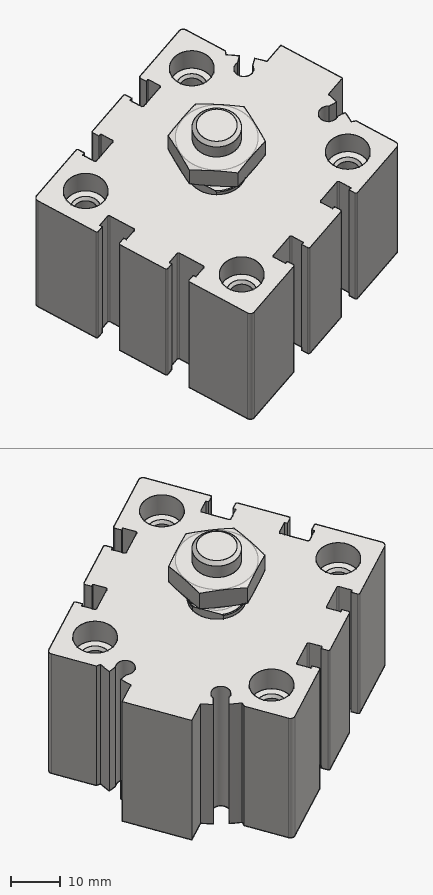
import cadquery as cq
import math

HOUSING_SIDE = 53.0
HALF_SIDE = HOUSING_SIDE / 2
TOTAL_LENGTH = 60.5
HOUSING_HEIGHT = 34.5
CORNER_RADIUS = 0.95

RAIL_WIDTH = 15.0
RAIL_TOP = TOTAL_LENGTH - HALF_SIDE
SHOULDER_RADIUS = 29.95
NOTCH_START_X = 15.9
NOTCH_BOTTOM_X = 15.25

SENSOR_GROOVE_ANGLE = 22.5
SENSOR_GROOVE_DISTANCE = 26.85
SENSOR_GROOVE_DIAMETER = 4.0
SENSOR_GROOVE_MOUTH = 3.15

T_SLOT_OFFSET = 8.5
T_SLOT_MOUTH = 5.2
T_SLOT_WIDTH = 6.5
T_SLOT_LIP = 1.8
T_SLOT_DEPTH = 4.95
T_SLOT_EDGE_RADIUS = 0.35

BOLT_SPACING = 38.0
BOLT_HOLE_DIAMETER = 4.9
COUNTERSINK_DIAMETER = 6.2
COUNTERBORE_DIAMETER = 9.0
COUNTERBORE_DEPTH = 5.7

ROD_HOLE_DEPTH = 6.05

TOTAL_HEIGHT = 49.5
ROD_LENGTH = TOTAL_HEIGHT - HOUSING_HEIGHT
ROD_DIAMETER = 10.0
ROD_TIP_DIAMETER = 8.2
ROD_TIP_CHAMFER_HEIGHT = 0.7
TAPER_TOP = 4.65
TAPER_BOTTOM = 2.25
TAPER_BOTTOM_DIAMETER = 8.5
NECK_TOP = 2.0
NECK_FILLET = 0.4
NECK_DIAMETER = 8.2
COLLAR_DIAMETER = 12.0
COLLAR_HEIGHT = 1.1
COLLAR_CHAMFER = 0.2
COLLAR_FLATS = 10.0

NUT_BOTTOM = 6.0
NUT_HEIGHT = 5.0
NUT_ACROSS_FLATS = 17.0
NUT_FACE_DIAMETER = 16.7
NUT_CORNER_DROP = 0.3


def profile_block():
    """Extruded outline: square with rounded corners, shoulders and rail on +Y."""
    rail_half = RAIL_WIDTH / 2
    notch_y = math.sqrt(SHOULDER_RADIUS**2 - NOTCH_BOTTOM_X**2)
    rail_foot_y = math.sqrt(SHOULDER_RADIUS**2 - rail_half**2)
    mid_x = (rail_half + NOTCH_BOTTOM_X) / 2
    mid_y = math.sqrt(SHOULDER_RADIUS**2 - mid_x**2)
    outline = (
        cq.Workplane("XY")
        .moveTo(0, -HALF_SIDE)
        .lineTo(HALF_SIDE, -HALF_SIDE)
        .lineTo(HALF_SIDE, HALF_SIDE)
        .lineTo(NOTCH_START_X, HALF_SIDE)
        .lineTo(NOTCH_BOTTOM_X, notch_y)
        .threePointArc((mid_x, mid_y), (rail_half, rail_foot_y))
        .lineTo(rail_half, RAIL_TOP)
        .lineTo(0, RAIL_TOP)
        .mirrorY()
    )
    block = outline.extrude(HOUSING_HEIGHT)
    return block.edges("|Z and (<X or >X)").fillet(CORNER_RADIUS)


def t_slot_cutter(offset):
    """T-slot open to the -Y face, with rounded mouth edges and floor corners."""
    mouth_half = T_SLOT_MOUTH / 2
    slot_half = T_SLOT_WIDTH / 2
    r = T_SLOT_EDGE_RADIUS
    arc_inset = r * (1 - math.sqrt(0.5))
    cutter = (
        cq.Workplane("XY", origin=(offset, -HALF_SIDE, 0))
        .moveTo(-mouth_half - r, 0)
        .lineTo(mouth_half + r, 0)
        .threePointArc((mouth_half + arc_inset, arc_inset), (mouth_half, r))
        .lineTo(mouth_half, T_SLOT_LIP)
        .lineTo(slot_half, T_SLOT_LIP)
        .lineTo(slot_half, T_SLOT_DEPTH)
        .lineTo(-slot_half, T_SLOT_DEPTH)
        .lineTo(-slot_half, T_SLOT_LIP)
        .lineTo(-mouth_half, T_SLOT_LIP)
        .lineTo(-mouth_half, r)
        .threePointArc((-mouth_half - arc_inset, arc_inset), (-mouth_half - r, 0))
        .close()
        .extrude(HOUSING_HEIGHT)
    )
    return cutter.edges("|Z and >Y").fillet(r)


def sensor_groove_cutter(angle):
    """Round-bottomed groove with a narrower mouth, pointing away from the Z axis."""
    mouth_length = RAIL_TOP - SENSOR_GROOVE_DISTANCE
    groove = (
        cq.Workplane("XY")
        .center(0, SENSOR_GROOVE_DISTANCE)
        .circle(SENSOR_GROOVE_DIAMETER / 2)
        .extrude(HOUSING_HEIGHT)
    )
    mouth = (
        cq.Workplane("XY")
        .center(0, SENSOR_GROOVE_DISTANCE + mouth_length / 2)
        .rect(SENSOR_GROOVE_MOUTH, mouth_length)
        .extrude(HOUSING_HEIGHT)
    )
    return groove.union(mouth).rotate((0, 0, 0), (0, 0, 1), angle)


def bolt_hole_cutter():
    """Four through holes with a counterbore and a 45 degree countersink in its floor."""
    floor = HOUSING_HEIGHT - COUNTERBORE_DEPTH
    hole_radius = BOLT_HOLE_DIAMETER / 2
    sink_radius = COUNTERSINK_DIAMETER / 2
    bore_radius = COUNTERBORE_DIAMETER / 2
    hole = (
        cq.Workplane("XZ")
        .polyline([
            (0, 0),
            (hole_radius, 0),
            (hole_radius, floor - (sink_radius - hole_radius)),
            (sink_radius, floor),
            (bore_radius, floor),
            (bore_radius, HOUSING_HEIGHT),
            (0, HOUSING_HEIGHT),
        ])
        .close()
        .revolve(360, (0, 0, 0), (0, 1, 0))
    )
    positions = cq.Workplane("XY").rect(BOLT_SPACING, BOLT_SPACING, forConstruction=True)
    return positions.vertices().eachpoint(hole.val(), combine=True)


def rod_hole_cutter():
    """Blind round hole in the top face that the rod collar fits into."""
    return (
        cq.Workplane("XY", origin=(0, 0, HOUSING_HEIGHT - ROD_HOLE_DEPTH))
        .circle(COLLAR_DIAMETER / 2)
        .extrude(ROD_HOLE_DEPTH)
    )


def make_housing():
    """Profile block with bolt holes, rod hole, six T-slots and two sensor grooves."""
    housing = profile_block().cut(bolt_hole_cutter()).cut(rod_hole_cutter())
    for face_angle in (-90, 0, 90):
        for offset in (-T_SLOT_OFFSET, T_SLOT_OFFSET):
            housing = housing.cut(t_slot_cutter(offset).rotate((0, 0, 0), (0, 0, 1), face_angle))
    for angle in (-SENSOR_GROOVE_ANGLE, SENSOR_GROOVE_ANGLE):
        housing = housing.cut(sensor_groove_cutter(angle))
    return housing


def make_rod():
    """Turned rod end standing in the guide hole, with two flats along its collar."""
    collar_radius = COLLAR_DIAMETER / 2
    neck_radius = NECK_DIAMETER / 2
    rod_radius = ROD_DIAMETER / 2
    fillet_inset = NECK_FILLET * (1 - math.sqrt(0.5))
    rod = (
        cq.Workplane("XZ", origin=(0, 0, HOUSING_HEIGHT))
        .moveTo(0, -ROD_HOLE_DEPTH)
        .lineTo(collar_radius, -ROD_HOLE_DEPTH)
        .lineTo(collar_radius, COLLAR_HEIGHT - COLLAR_CHAMFER)
        .lineTo(collar_radius - COLLAR_CHAMFER, COLLAR_HEIGHT)
        .lineTo(neck_radius + NECK_FILLET, COLLAR_HEIGHT)
        .threePointArc(
            (neck_radius + fillet_inset, COLLAR_HEIGHT + fillet_inset),
            (neck_radius, COLLAR_HEIGHT + NECK_FILLET),
        )
        .lineTo(neck_radius, NECK_TOP)
        .lineTo(TAPER_BOTTOM_DIAMETER / 2, TAPER_BOTTOM)
        .lineTo(rod_radius, TAPER_TOP)
        .lineTo(rod_radius, ROD_LENGTH - ROD_TIP_CHAMFER_HEIGHT)
        .lineTo(ROD_TIP_DIAMETER / 2, ROD_LENGTH)
        .lineTo(0, ROD_LENGTH)
        .close()
        .revolve(360, (0, 0, 0), (0, 1, 0))
    )
    flats = (
        cq.Workplane("XY", origin=(0, 0, HOUSING_HEIGHT - ROD_HOLE_DEPTH))
        .rect(COLLAR_DIAMETER, COLLAR_FLATS)
        .extrude(ROD_HOLE_DEPTH + ROD_LENGTH)
    )
    return rod.intersect(flats)


def make_nut():
    """Hexagon nut with corners on the Y axis and both faces chamfered."""
    corner_diameter = NUT_ACROSS_FLATS / math.cos(math.radians(30))
    corner_radius = corner_diameter / 2
    face_radius = NUT_FACE_DIAMETER / 2
    base = (0, 0, HOUSING_HEIGHT + NUT_BOTTOM)
    hexagon = (
        cq.Workplane("XY", origin=base)
        .transformed(rotate=(0, 0, 90))
        .polygon(6, corner_diameter)
        .circle(ROD_DIAMETER / 2)
        .extrude(NUT_HEIGHT)
    )
    chamfer_envelope = (
        cq.Workplane("XZ", origin=base)
        .polyline([
            (0, 0),
            (face_radius, 0),
            (corner_radius, NUT_CORNER_DROP),
            (corner_radius, NUT_HEIGHT - NUT_CORNER_DROP),
            (face_radius, NUT_HEIGHT),
            (0, NUT_HEIGHT),
        ])
        .close()
        .revolve(360, (0, 0, 0), (0, 1, 0))
    )
    return hexagon.intersect(chamfer_envelope)


housing = make_housing().solids().val()
rod = make_rod().solids().val()
nut = make_nut().solids().val()

result = cq.Compound.makeCompound([housing, rod, nut])